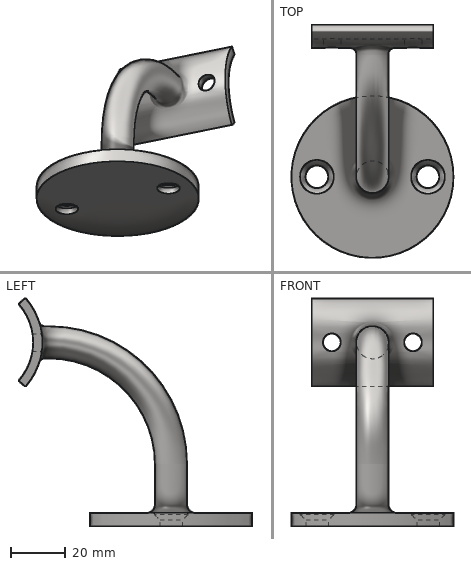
import cadquery as cq
import math

base_diameter = 60.0
base_thickness = 5.0
base_hole_diameter = 8.3
base_countersink_diameter = 12.5
base_countersink_angle = 90
base_countersink_rim = 0.5
base_hole_offset = 20.5

arm_diameter = 12.0
arm_bend_start = 23.0
arm_bend_radius = 45.0
arm_foot_fillet = 3.0

saddle_length = 45.0
saddle_height = 32.6
saddle_inner_radius = 21.3
saddle_thickness = 3.45
saddle_tip_y = 56.2
saddle_corner_radius = 0.4
saddle_hole_diameter = 6.5
saddle_hole_offset = 15.0
saddle_fillet = 2.0

saddle_outer_radius = saddle_inner_radius + saddle_thickness

outer_corner_path = saddle_outer_radius - saddle_corner_radius
outer_corner_angle = math.asin((saddle_height / 2 - saddle_corner_radius) / outer_corner_path)
saddle_half_angle = outer_corner_angle + math.asin(saddle_corner_radius / outer_corner_path)

inner_corner_path = saddle_inner_radius + saddle_corner_radius
inner_corner_angle = saddle_half_angle - math.asin(saddle_corner_radius / inner_corner_path)
rail_y = saddle_tip_y - saddle_corner_radius + inner_corner_path * math.cos(inner_corner_angle)
rail_z = arm_bend_start + arm_bend_radius
arm_end_y = rail_y - saddle_inner_radius - saddle_thickness / 2


def rail_point(radius, angle):
    """Return the (Y, Z) point at an angle above the line from the rail axis to the arm."""
    return (rail_y - radius * math.cos(angle), rail_z + radius * math.sin(angle))


def make_base():
    """Flange disc."""
    return cq.Workplane("XY").circle(base_diameter / 2).extrude(base_thickness)


def make_arm():
    """Straight foot, quarter bend and short straight end that stops inside the saddle wall."""
    bend_middle = (
        arm_bend_radius * (1 - math.cos(math.pi / 4)),
        arm_bend_start + arm_bend_radius * math.sin(math.pi / 4),
    )
    path = (
        cq.Workplane("YZ")
        .lineTo(0, arm_bend_start)
        .threePointArc(bend_middle, (arm_bend_radius, rail_z))
        .lineTo(arm_end_y, rail_z)
    )
    return cq.Workplane("XY").circle(arm_diameter / 2).sweep(path)


def make_saddle():
    """Ring segment around the rail axis, with radial end faces and rounded long edges."""
    return (
        cq.Workplane("YZ")
        .moveTo(*rail_point(saddle_inner_radius, -saddle_half_angle))
        .threePointArc(
            rail_point(saddle_inner_radius, 0),
            rail_point(saddle_inner_radius, saddle_half_angle),
        )
        .lineTo(*rail_point(saddle_outer_radius, saddle_half_angle))
        .threePointArc(
            rail_point(saddle_outer_radius, 0),
            rail_point(saddle_outer_radius, -saddle_half_angle),
        )
        .close()
        .extrude(saddle_length / 2, both=True)
        .edges("|X")
        .fillet(saddle_corner_radius)
    )


def joint_edge(y, z):
    """Select the edge around the arm whose centre lies nearest to a point on its axis."""
    return cq.selectors.NearestToPointSelector((0, y, z))


def fillet_arm_joints(body):
    """Blend the arm into the base and into the saddle."""
    body = body.edges(joint_edge(0, base_thickness)).fillet(arm_foot_fillet)
    return body.edges(joint_edge(rail_y - saddle_outer_radius, rail_z)).fillet(saddle_fillet)


def cut_base_holes(body):
    """Pair of screw holes through the base, with countersinks set below a short straight rim."""
    positions = [(-base_hole_offset, 0), (base_hole_offset, 0)]
    rim_floor = base_thickness - base_countersink_rim
    rims = (
        cq.Workplane("XY", origin=(0, 0, rim_floor))
        .pushPoints(positions)
        .circle(base_countersink_diameter / 2)
        .extrude(base_countersink_rim)
    )
    return (
        body.cut(rims)
        .copyWorkplane(cq.Workplane("XY", origin=(0, 0, rim_floor)))
        .pushPoints(positions)
        .cskHole(base_hole_diameter, base_countersink_diameter, base_countersink_angle)
    )


def cut_saddle_holes(body):
    """Pair of plain screw holes through the saddle, parallel to Y."""
    drills = (
        cq.Workplane("XZ", origin=(0, rail_y, rail_z))
        .pushPoints([(-saddle_hole_offset, 0), (saddle_hole_offset, 0)])
        .circle(saddle_hole_diameter / 2)
        .extrude(saddle_outer_radius)
    )
    return body.cut(drills)


bracket = make_base().union(make_arm()).union(make_saddle())
bracket = fillet_arm_joints(bracket)
bracket = cut_base_holes(bracket)
result = cut_saddle_holes(bracket)